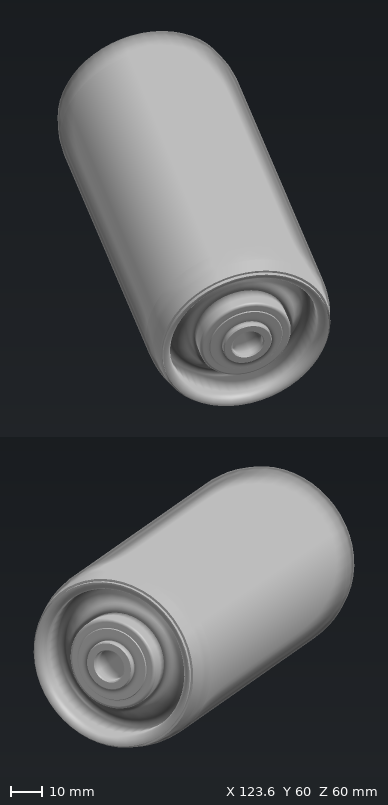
import cadquery as cq
import math

axle_half_length = 61.8
cap_half_length = 59.8
tube_half_length = 58.7
straight_half_length = 49.0
trough_centre_x = 49.2

tube_radius = 30.0
taper_angle = 15
taper_blend_radius = 21.0

cap_radius = 27.4
lip_radius = 3.0
well_radius = cap_radius - lip_radius
trough_radius = 1.5
cone_angle = 45
shoulder_radius = 15.9
shoulder_fillet = 3.0

hub_half_length = 59.5
hub_radius = 15.1
hub_fillet = 1.0
bearing_radius = 12.1
bearing_step = 0.2
bearing_chamfer = 0.2
axle_radius = 8.0
axle_chamfer = 0.4
bore_radius = 5.1
bore_chamfer = 0.4


def arc_point(centre, radius, angle):
    """Point (x, r) on a circle in the axial plane, with the angle in degrees from +X toward the rim."""
    turn = math.radians(angle)
    return (centre[0] + radius * math.cos(turn), centre[1] + radius * math.sin(turn))


def add_arc(outline, centre, radius, start_angle, end_angle):
    """Draw a line to the start of an arc, then the arc itself."""
    middle = arc_point(centre, radius, (start_angle + end_angle) / 2)
    end = arc_point(centre, radius, end_angle)
    return outline.lineTo(*arc_point(centre, radius, start_angle)).threePointArc(middle, end)


def add_tube(outline):
    """Straight tube, blended into a taper that ends in a narrow flat rim."""
    blend_centre = (straight_half_length, tube_radius - taper_blend_radius)
    taper_start = arc_point(blend_centre, taper_blend_radius, 90 - taper_angle)
    taper_drop = (tube_half_length - taper_start[0]) * math.tan(math.radians(taper_angle))
    outline = add_arc(outline, blend_centre, taper_blend_radius, 90, 90 - taper_angle)
    outline = outline.lineTo(tube_half_length, taper_start[1] - taper_drop)
    return outline.lineTo(tube_half_length, cap_radius)


def add_cap(outline):
    """Lip rolled into the well, trough at its foot, and a cone rising to the shoulder."""
    lip_centre = (cap_half_length - lip_radius, cap_radius)
    outline = add_arc(outline, lip_centre, lip_radius, 0, -90)

    trough_centre = (trough_centre_x, well_radius - trough_radius)
    cone_normal = 90 - cone_angle
    trough_end_angle = 180 + cone_normal
    outline = add_arc(outline, trough_centre, trough_radius, 90, trough_end_angle)

    cone_foot = arc_point(trough_centre, trough_radius, trough_end_angle)
    cone_top_radius = arc_point((0, shoulder_radius), shoulder_fillet, cone_normal)[1]
    cone_rise = (cone_foot[1] - cone_top_radius) / math.tan(math.radians(cone_angle))
    shoulder_centre = arc_point((cone_foot[0] + cone_rise, cone_top_radius), -shoulder_fillet, cone_normal)
    outline = add_arc(outline, shoulder_centre, shoulder_fillet, cone_normal, 0)
    return outline.lineTo(shoulder_centre[0] + shoulder_fillet, hub_radius)


def add_hub(outline):
    """Bearing housing with a rounded rim, the raised bearing face and the axle end."""
    hub_edge_centre = (hub_half_length - hub_fillet, hub_radius - hub_fillet)
    bearing_face = hub_half_length + bearing_step
    outline = add_arc(outline, hub_edge_centre, hub_fillet, 90, 0)
    return (
        outline.lineTo(hub_half_length, bearing_radius)
        .lineTo(bearing_face, bearing_radius - bearing_chamfer)
        .lineTo(bearing_face, axle_radius)
        .lineTo(axle_half_length - axle_chamfer, axle_radius)
        .lineTo(axle_half_length, axle_radius - axle_chamfer)
        .lineTo(axle_half_length, bore_radius + bore_chamfer)
        .lineTo(axle_half_length - bore_chamfer, bore_radius)
    )


outline = cq.Workplane("XZ").moveTo(0, tube_radius)
outline = add_tube(outline)
outline = add_cap(outline)
outline = add_hub(outline)
outline = outline.lineTo(0, bore_radius)

half_roller = outline.close().revolve(360, (0, 0, 0), (1, 0, 0))
opposite_half = half_roller.rotate((0, 0, 0), (0, 0, 1), 180)
result = half_roller.union(opposite_half).clean()